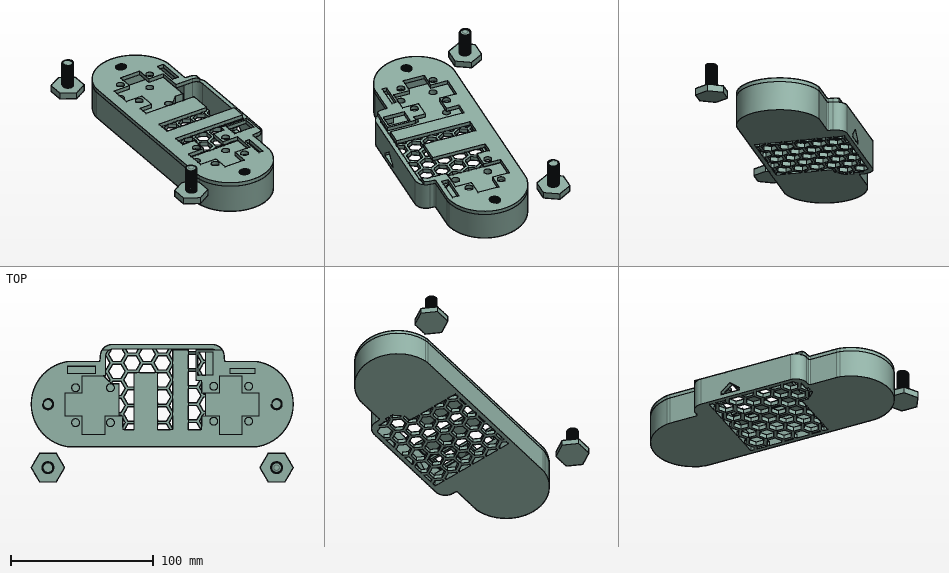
import cadquery as cq
import math

case_length = 183.4
case_half_width = 29.9
end_radius = 30.3
end_blend_radius = 12.8
case_height = 24.0
lid_thickness = 3.0
housing_height = case_height - lid_thickness
wall = 3.3
base_thickness = 3.3

bump_rear_y = 41.8
bump_half_width_rear = 43.0
bump_half_width_root = 43.6
bump_corner_radius = 8.5
bump_root_fillet = 1.0
lid_rear_y = 38.0
bump_cavity_half_width = bump_half_width_rear - wall
bump_cavity_rear_y = bump_rear_y - wall
bump_cavity_corner_radius = bump_corner_radius - wall

cavity_half_length = 70.8
cavity_half_width = case_half_width - wall
shelf_z = 13.0
left_shelf_x = -30.0
left_shelf_rear_y = 14.3
left_shelf_slant_x = -35.4
left_shelf_rear_x = -41.5
right_shelf_x = 30.0

gable_x = 12.3
gable_half_width = 7.2
gable_eave_z = 5.3
gable_peak_z = 11.4

cell_flats = 9.9
cell_corners = cell_flats / math.cos(math.pi / 6)
cell_wall = 2.0
cell_step_x = 0.75 * cell_corners + cell_wall
cell_step_y = cell_flats + cell_wall
cell_origin = (-31.7, 23.0)
cell_columns = range(-2, 8)
right_cells_first_column = 5
right_cells_shift_y = 1.0
cell_rows = range(-5, 3)

cross_arm_width = 16.0
cross_half_length = 19.8
cross_side_arm_y = -0.28
cross_rear_y = 19.8
cross_front_y = -21.0
cross_centers_x = (-48.0, 47.9)
post_diameter = 5.5
post_spacing = 24.4
post_pattern_centers = ((-48.5, -0.7), (48.2, 0.28))

window_half_width = 27.5
window_front_y = -17.8
window_step_y = 16.5
window_left_x = -bump_cavity_half_width
window_left_front_y = cross_side_arm_y - cross_arm_width / 2
window_right_x = 23.5
window_step_radius = 0.7
lid_strips = ((-19.8, -3.3, 22.0), (7.3, 18.3, lid_rear_y))
lid_slots = (
    (-66.2, -46.8, 21.5, 26.5),
    (47.5, 65.0, 21.5, 24.8),
    (25.0, 35.4, 20.4, 36.3),
)

screw_x = 80.0
screw_y = -44.4
head_flats = 20.2
head_corners = 2 * (case_length / 2 - screw_x)
head_height = 5.0
head_bottom_z = case_height - head_height
stem_length = 18.9
screw_major_diameter = 8.3
screw_minor_diameter = 6.8
tip_diameter = 3.9
tip_height = 0.4
hole_major_diameter = 7.9
hole_minor_diameter = 6.5
thread_pitch = 1.25
crest_width = 0.2
root_width = 1.1
root_overlap = 0.2


def box(x0, x1, y0, y1, z0, z1):
    """Box between two limits along each axis."""
    return cq.Workplane("XY").box(x1 - x0, y1 - y0, z1 - z0, centered=False).translate((x0, y0, z0))


def case_slab(z0, z1):
    """Outer case shape between two heights."""
    height = z1 - z0
    end_center_x = case_length / 2 - end_radius
    side_x = end_center_x + math.sqrt(end_radius**2 - case_half_width**2)
    oblong = (
        cq.Workplane("XY")
        .moveTo(-side_x, -case_half_width)
        .lineTo(side_x, -case_half_width)
        .threePointArc((case_length / 2, 0), (side_x, case_half_width))
        .lineTo(-side_x, case_half_width)
        .threePointArc((-case_length / 2, 0), (-side_x, -case_half_width))
        .close()
        .extrude(height)
        .edges("|Z")
        .fillet(end_blend_radius)
    )
    slope = (bump_half_width_root - bump_half_width_rear) / (bump_rear_y - case_half_width)
    half_width_at_axis = bump_half_width_root + slope * case_half_width
    bump = (
        cq.Workplane("XY")
        .polyline([
            (-half_width_at_axis, 0),
            (half_width_at_axis, 0),
            (bump_half_width_rear, bump_rear_y),
            (-bump_half_width_rear, bump_rear_y),
        ])
        .close()
        .extrude(height)
        .edges("|Z and >Y")
        .fillet(bump_corner_radius)
    )
    slab = oblong.union(bump)
    for side in (-1, 1):
        root = cq.selectors.NearestToPointSelector((side * bump_half_width_root, case_half_width, height / 2))
        slab = slab.edges("|Z").edges(root).fillet(bump_root_fillet)
    return slab.translate((0, 0, z0))


def threaded_rod(major, minor, length):
    """Right-handed threaded rod standing on the origin."""
    core_radius = minor / 2
    inner_radius = core_radius - root_overlap
    path = cq.Wire.makeHelix(thread_pitch, length + 2 * thread_pitch, core_radius)
    ridge = (
        cq.Workplane("XZ")
        .polyline([
            (inner_radius, -root_width / 2),
            (major / 2, -crest_width / 2),
            (major / 2, crest_width / 2),
            (inner_radius, root_width / 2),
        ])
        .close()
        .sweep(cq.Workplane(path), isFrenet=True)
        .translate((0, 0, -thread_pitch))
    )
    envelope = cq.Workplane("XY").circle(major).extrude(length)
    core = cq.Workplane("XY").circle(core_radius).extrude(length)
    return core.union(ridge.intersect(envelope))


def screw_holes():
    """Cutters for the two threaded holes, blind and as deep as a screw stem is long."""
    rod = threaded_rod(hole_major_diameter, hole_minor_diameter, stem_length)
    bottom_z = case_height - stem_length
    return [rod.translate((side * screw_x, 0, bottom_z)) for side in (-1, 1)]


def post_holes(z0, z1):
    """Cutter for the four post holes around each button pad."""
    holes = cq.Workplane("XY").workplane(offset=z0)
    for center in post_pattern_centers:
        holes = holes.add(
            cq.Workplane("XY", origin=(*center, z0))
            .rect(post_spacing, post_spacing, forConstruction=True)
            .vertices()
            .circle(post_diameter / 2)
            .extrude(z1 - z0)
        )
    return holes.combine()


def shelves():
    """Raised shelves at the left and right ends of the cavity."""
    slant_rear_y = left_shelf_rear_y + left_shelf_slant_x - left_shelf_rear_x
    left = (
        cq.Workplane("XY")
        .polyline([
            (-cavity_half_length, -cavity_half_width),
            (left_shelf_x, -cavity_half_width),
            (left_shelf_x, left_shelf_rear_y),
            (left_shelf_slant_x, left_shelf_rear_y),
            (left_shelf_rear_x, slant_rear_y),
            (left_shelf_rear_x, cavity_half_width),
            (-cavity_half_length, cavity_half_width),
        ])
        .close()
        .extrude(shelf_z)
    )
    right = box(right_shelf_x, cavity_half_length, -cavity_half_width, bump_rear_y, 0, shelf_z)
    return left.union(right)


def cavity(z0):
    """Open space of the housing above a height, leaving out the shelves."""
    main = box(
        -cavity_half_length,
        cavity_half_length,
        -cavity_half_width,
        cavity_half_width,
        z0,
        housing_height,
    )
    rear = (
        box(-bump_cavity_half_width, bump_cavity_half_width, 0, bump_cavity_rear_y, z0, housing_height)
        .edges("|Z and >Y")
        .fillet(bump_cavity_corner_radius)
    )
    return main.union(rear).cut(shelves())


def rear_opening():
    """Gabled opening through the rear wall, standing on the base."""
    left = gable_x - gable_half_width
    right = gable_x + gable_half_width
    return (
        cq.Workplane("XZ", origin=(0, bump_rear_y, 0))
        .polyline([
            (left, base_thickness),
            (right, base_thickness),
            (right, gable_eave_z),
            (gable_x, gable_peak_z),
            (left, gable_eave_z),
        ])
        .close()
        .extrude(wall)
    )


def honeycomb():
    """Hexagonal cells through the base; every second column is shifted by half a step."""
    centers = []
    for column in cell_columns:
        x = cell_origin[0] + column * cell_step_x
        column_y = cell_origin[1] + 0.5 * (column % 2) * cell_step_y
        if column >= right_cells_first_column:
            column_y += right_cells_shift_y
        centers += [(x, column_y + row * cell_step_y) for row in cell_rows]
    return cq.Workplane("XY").pushPoints(centers).polygon(6, cell_corners).extrude(base_thickness)


def make_housing(threaded_holes):
    """Tray with a honeycomb base, a shelf at each end and two threaded holes."""
    housing = case_slab(0, housing_height)
    housing = housing.cut(cavity(base_thickness))
    housing = housing.cut(rear_opening())
    housing = housing.cut(honeycomb().intersect(cavity(0)))
    housing = housing.cut(post_holes(base_thickness, shelf_z))
    for hole in threaded_holes:
        housing = housing.cut(hole)
    return housing


def lid_window():
    """Central window, with the cross-shaped pad openings that run into it and without the strips."""
    z0 = housing_height
    z1 = case_height
    window = box(-window_half_width, window_half_width, window_front_y, window_step_y, z0, z1)
    rear_left = box(window_left_x, 0, window_left_front_y, bump_cavity_rear_y, z0, z1)
    window = window.union(rear_left.edges("|Z and <X and >Y").fillet(bump_cavity_corner_radius))
    window = window.union(box(0, window_right_x, 0, lid_rear_y, z0, z1))
    step_edge = cq.selectors.NearestToPointSelector((window_right_x, window_step_y, (z0 + z1) / 2))
    window = window.edges("|Z").edges(step_edge).fillet(window_step_radius)
    half_arm = cross_arm_width / 2
    for x in cross_centers_x:
        window = window.union(box(x - half_arm, x + half_arm, cross_front_y, cross_rear_y, z0, z1))
        window = window.union(
            box(
                x - cross_half_length,
                x + cross_half_length,
                cross_side_arm_y - half_arm,
                cross_side_arm_y + half_arm,
                z0,
                z1,
            )
        )
    pad_left_x, pad_right_x = cross_centers_x
    window = window.union(box(pad_left_x, pad_right_x, window_left_front_y, 0, z0, z1))
    window = window.union(box(0, pad_right_x, 0, cross_side_arm_y + half_arm, z0, z1))
    window = window.union(box(pad_left_x, 0, 0, cross_rear_y, z0, z1))
    for left, right, rear in lid_strips:
        window = window.cut(box(left, right, window_front_y, rear, z0, z1))
    return window


def make_lid(threaded_holes):
    """Flat cover with the pad openings, slots and threaded holes."""
    lid = case_slab(housing_height, case_height)
    lid = lid.cut(box(-case_length, case_length, lid_rear_y, case_length, housing_height, case_height))
    lid = lid.cut(lid_window())
    for left, right, front, rear in lid_slots:
        lid = lid.cut(box(left, right, front, rear, housing_height, case_height))
    lid = lid.cut(post_holes(housing_height, case_height))
    for hole in threaded_holes:
        lid = lid.cut(hole)
    return lid


def make_screw(x, pointed):
    """Hex-head screw standing on its head; a pointed one ends in a flat cone."""
    half_flats = head_flats / 2
    half_corners = head_corners / 2
    flat_end_x = half_corners / 2
    head = (
        cq.Workplane("XY")
        .polyline([
            (half_corners, 0),
            (flat_end_x, half_flats),
            (-flat_end_x, half_flats),
            (-half_corners, 0),
            (-flat_end_x, -half_flats),
            (flat_end_x, -half_flats),
        ])
        .close()
        .extrude(head_height)
    )
    thread_length = stem_length - tip_height if pointed else stem_length
    stem = threaded_rod(screw_major_diameter, screw_minor_diameter, thread_length)
    screw = head.union(stem.translate((0, 0, head_height)))
    if pointed:
        tip = cq.Solid.makeCone(screw_minor_diameter / 2, tip_diameter / 2, tip_height)
        screw = screw.union(cq.Workplane(tip).translate((0, 0, head_height + thread_length)))
    return screw.translate((x, screw_y, head_bottom_z))


threaded_holes = screw_holes()
housing = make_housing(threaded_holes)
lid = make_lid(threaded_holes)
screws = [make_screw(x, pointed) for x, pointed in ((-screw_x, False), (screw_x, True))]

result = cq.Compound.makeCompound([
    housing.solids().val(),
    lid.solids().val(),
    *[screw.solids().val() for screw in screws],
])